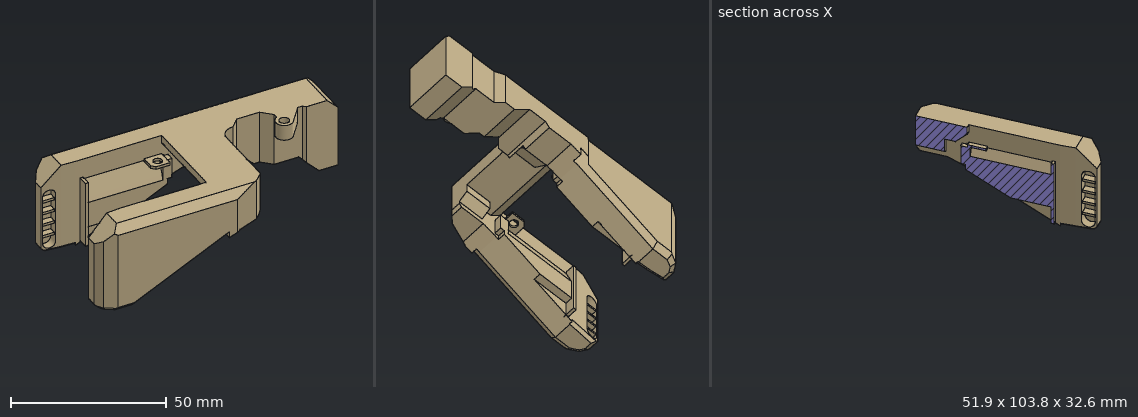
import cadquery as cq
import math

WIDTH = 51.9
LENGTH = 103.83
HEIGHT = 32.64
MARGIN = 1.0

ARM_LEFT_X = 1.3
INNER_LEFT_X = 11.4
INNER_RIGHT_X = 41.75
MID_X = (INNER_LEFT_X + INNER_RIGHT_X) / 2
INNER_STRAIGHT_Y = 12.2
OPENING_Y = 43.5
BRIDGE_BACK_Y = 61.3
FOOT_FLAT_Y = 12.1

SPINE_X = 17.9
TAIL_X = 18.85
TAIL_LEFT_X = 1.6
TAIL_FRONT_Y = 92.25

ROOF_THICKNESS = 7.0
BRIDGE_EDGE = 2.9
BRIDGE_CORNER_R = 4.5

SHOULDER_FRONT_Y = 51.3
LEFT_SHOULDER_X = 16.7
LEFT_SHOULDER_Z = (17.75, 22.1)
RIGHT_SHOULDER_X = 38.1
RIGHT_SHOULDER_Z = (19.9, 21.9)

NOTCH_X = 14.5
NOTCH_BACK_Y = 81.0
EAR_WEB_BACK_Y = 89.6
STEP_Y = 91.3
RECESS_X = 2.5

EAR_X = 22.35
EAR_Y = 82.3
EAR_R = 3.0
EAR_THICKNESS = 5.7
EAR_HOLE_D = 3.4

SIDE_BEVEL_ANGLE = 40.0
LEFT_BEVEL = 4.2
RIGHT_BEVEL = 3.05
BACK_BEVEL = 4.0
FRONT_BEVEL = 7.0
SOLE_BEVEL = 2.1
SOLE_INNER_BEVEL = 1.2
TOE_CORNER_BEVEL = 1.8
BEVEL_OVERSHOOT = 3.0
BEVEL_END_Y = 46.5

TAB_WIDTH = 5.85
TAB_LENGTH = 6.4
TAB_THICKNESS = 1.0
TAB_CORNER = 1.3
TAB_HOLE_D = 3.0
TAB_HOLE_X = 3.1
TAB_HOLE_Y = 40.4

RIB_Y = 13.8
RIB_THICKNESS = 1.1
RIB_DEPTH = 3.65
RIB_BOTTOM_Z = 1.3
PAD_DEPTH = 2.75
PAD_STEP = 0.6
PAD_TOP_Z = 25.0
PAD_STEP_Z = 19.0
PAD_FACE_Z = 17.3
PAD_BOTTOM_Z = 7.9
PAD_BACK_Y = 44.2
POST_BACK_Y = 45.8

OUTLET_Y = 2.9
OUTLET_WIDTH = 4.5
OUTLET_BOTTOM_Z = 1.6
OUTLET_TOP_Z = 24.0
OUTLET_DEPTH = 3.0
OUTLET_SETBACK = 0.8
SLAT_COUNT = 4
SLAT_THICKNESS = 0.9
SLAT_RECESS = 0.6

ROOF_Z = HEIGHT - ROOF_THICKNESS

LEFT_FOOT = [(ARM_LEFT_X, 6.0), (3.4, 2.1), (6.7, 0)]
RIGHT_FOOT = [(46.7, 0), (49.6, 1.9), (WIDTH, 6.0)]
LEFT_INNER = [(10.45, 0), (11.2, 7.1), (INNER_LEFT_X, INNER_STRAIGHT_Y)]
RIGHT_INNER = [(INNER_RIGHT_X, INNER_STRAIGHT_Y), (42.15, 7.1), (42.8, 0)]

SPINE_OUTLINE = (
    LEFT_FOOT
    + LEFT_INNER
    + [
        (INNER_LEFT_X, BRIDGE_BACK_Y),
        (SPINE_X, BRIDGE_BACK_Y),
        (SPINE_X, 66.0),
        (NOTCH_X, 69.2),
        (NOTCH_X, 77.5),
        (SPINE_X, NOTCH_BACK_Y),
        (SPINE_X, STEP_Y),
        (TAIL_X, TAIL_FRONT_Y),
        (TAIL_X, LENGTH),
        (TAIL_LEFT_X, LENGTH),
        (TAIL_LEFT_X, TAIL_FRONT_Y),
        (RECESS_X, STEP_Y),
        (RECESS_X, 82.0),
        (0, 79.4),
        (0, 43.3),
        (ARM_LEFT_X, 42.0),
    ]
)

RIGHT_ARM_OUTLINE = (
    RIGHT_INNER
    + RIGHT_FOOT
    + [
        (WIDTH, 49.5),
        (48.5, 58.2),
        (45.4, BRIDGE_BACK_Y),
        (INNER_RIGHT_X, BRIDGE_BACK_Y),
    ]
)

SLOPE_END = (45.1, 15.7)
STEP_Z = 17.75
POCKET_Z = 19.7
SPINE_Z = 13.25
TAIL_Z = 6.35
SIDE_PROFILE = [
    (0, 0),
    (FOOT_FLAT_Y, 0),
    SLOPE_END,
    (50.85, STEP_Z),
    (60.3, STEP_Z),
    (62.0, POCKET_Z),
    (68.8, POCKET_Z),
    (75.4, SPINE_Z),
    (89.95, SPINE_Z),
    (96.8, TAIL_Z),
    (LENGTH, TAIL_Z),
    (LENGTH, HEIGHT),
    (0, HEIGHT),
]


def across(points, x_start, x_end):
    """Prism along X with a (Y, Z) outline."""
    return cq.Workplane("YZ").workplane(offset=x_start).polyline(points).close().extrude(x_end - x_start)


def along(points, y_start, y_end):
    """Prism along Y with an (X, Z) outline."""
    prism = cq.Workplane("XZ", origin=(0, y_start, 0)).polyline(points).close()
    return prism.extrude(y_start - y_end)


def upright(points, z_start, z_end):
    """Prism along Z with an (X, Y) outline."""
    return cq.Workplane("XY").workplane(offset=z_start).polyline(points).close().extrude(z_end - z_start)


def mirrored(body):
    """Copy of a body on the other side of the opening."""
    return body.mirror("YZ", (MID_X, 0, 0))


def arms():
    plan = upright(SPINE_OUTLINE, 0, HEIGHT).union(upright(RIGHT_ARM_OUTLINE, 0, HEIGHT))
    return plan.intersect(across(SIDE_PROFILE, 0, WIDTH))


def bridge():
    corner_x = SPINE_X + BRIDGE_CORNER_R
    corner_y = BRIDGE_BACK_Y + BRIDGE_CORNER_R
    bend = BRIDGE_CORNER_R * math.sqrt(0.5)
    plate = (
        cq.Workplane("XY")
        .workplane(offset=ROOF_Z)
        .moveTo(INNER_LEFT_X - MARGIN, OPENING_Y)
        .lineTo(INNER_RIGHT_X + MARGIN, OPENING_Y)
        .lineTo(INNER_RIGHT_X + MARGIN, BRIDGE_BACK_Y)
        .lineTo(corner_x, BRIDGE_BACK_Y)
        .threePointArc((corner_x - bend, corner_y - bend), (SPINE_X, corner_y))
        .lineTo(INNER_LEFT_X - MARGIN, corner_y)
        .close()
        .extrude(ROOF_THICKNESS)
    )
    rise = ROOF_THICKNESS - BRIDGE_EDGE
    undercut = [
        (OPENING_Y, ROOF_Z),
        (OPENING_Y + rise, ROOF_Z),
        (OPENING_Y, ROOF_Z + rise),
    ]
    return plate.cut(across(undercut, INNER_LEFT_X, INNER_RIGHT_X))


def shoulder(wall_x, edge_x, underside):
    """Block between an arm's inner wall and edge_x, with a slanting underside."""
    wall_z, edge_z = underside
    outline = [
        (wall_x, wall_z),
        (edge_x, edge_z),
        (edge_x, ROOF_Z),
        (wall_x, ROOF_Z),
    ]
    return along(outline, SHOULDER_FRONT_Y, BRIDGE_BACK_Y)


def ear():
    bottom = HEIGHT - EAR_THICKNESS
    reach = EAR_R * math.sqrt(0.5)
    web = [
        (SPINE_X - MARGIN, NOTCH_BACK_Y),
        (EAR_X - EAR_R, NOTCH_BACK_Y),
        (EAR_X - reach, EAR_Y - reach),
        (EAR_X + reach, EAR_Y + reach),
        (SPINE_X, EAR_WEB_BACK_Y),
        (SPINE_X - MARGIN, EAR_WEB_BACK_Y),
    ]
    center = cq.Workplane("XY").workplane(offset=bottom).center(EAR_X, EAR_Y)
    boss = center.circle(EAR_R).extrude(EAR_THICKNESS)
    hole = center.circle(EAR_HOLE_D / 2).extrude(EAR_THICKNESS)
    return upright(web, bottom, HEIGHT).union(boss).cut(hole)


def top_bevels():
    slope = math.tan(math.radians(SIDE_BEVEL_ANGLE))
    high = HEIGHT + MARGIN
    run = MARGIN / slope
    left = [
        (-MARGIN, HEIGHT - (LEFT_BEVEL + MARGIN) * slope),
        (LEFT_BEVEL + run, high),
        (-MARGIN, high),
    ]
    right = [
        (WIDTH + MARGIN, HEIGHT - (RIGHT_BEVEL + MARGIN) * slope),
        (WIDTH - RIGHT_BEVEL - run, high),
        (WIDTH + MARGIN, high),
    ]
    front = [
        (-MARGIN, HEIGHT - FRONT_BEVEL - MARGIN),
        (FRONT_BEVEL + MARGIN, high),
        (-MARGIN, high),
    ]
    back = [
        (LENGTH + MARGIN, HEIGHT - BACK_BEVEL - MARGIN),
        (LENGTH - BACK_BEVEL - MARGIN, high),
        (LENGTH + MARGIN, high),
    ]
    cutters = along(left, 0, LENGTH).union(along(right, 0, LENGTH))
    return cutters.union(across(front, 0, WIDTH)).union(across(back, 0, WIDTH))


def edge_bevel(start, end, size):
    """45 degree cutter along a lower edge; the material lies to the left of start -> end."""
    start = cq.Vector(*start)
    path = cq.Vector(*end) - start
    inward = cq.Vector(-path.y, path.x, 0).normalized()
    up = cq.Vector(0, 0, 1)
    corner = start - (inward + up) * BEVEL_OVERSHOOT
    leg = size + 2 * BEVEL_OVERSHOOT
    wire = cq.Wire.makePolygon([corner, corner + inward * leg, corner + up * leg], close=True)
    return cq.Workplane(obj=cq.Solid.extrudeLinear(wire, [], path))


def sole_bevels():
    """Bevels along the sole, on the flat and on the slope, and across the toes."""
    slope_z = (BEVEL_END_Y - FOOT_FLAT_Y) * SLOPE_END[1] / (SLOPE_END[0] - FOOT_FLAT_Y)
    cutters = edge_bevel((0, 0, 0), (WIDTH, 0, 0), SOLE_BEVEL)
    sole_line = [(BEVEL_END_Y, slope_z), (FOOT_FLAT_Y, 0), (0, 0)]
    for (y1, z1), (y2, z2) in zip(sole_line, sole_line[1:]):
        cutters = cutters.union(edge_bevel((ARM_LEFT_X, y1, z1), (ARM_LEFT_X, y2, z2), SOLE_BEVEL))
        cutters = cutters.union(edge_bevel((WIDTH, y2, z2), (WIDTH, y1, z1), SOLE_BEVEL))
    for path, size in (
        (LEFT_FOOT, TOE_CORNER_BEVEL),
        (RIGHT_FOOT, TOE_CORNER_BEVEL),
        (LEFT_INNER, SOLE_INNER_BEVEL),
        (RIGHT_INNER, SOLE_INNER_BEVEL),
    ):
        for (x1, y1), (x2, y2) in zip(path, path[1:]):
            cutters = cutters.union(edge_bevel((x1, y1, 0), (x2, y2, 0), size))
    return cutters


def tab():
    left = INNER_LEFT_X - MARGIN
    right = INNER_LEFT_X + TAB_WIDTH
    front = OPENING_Y - TAB_LENGTH
    outline = [
        (left, front),
        (right - TAB_CORNER, front),
        (right, front + TAB_CORNER),
        (right, OPENING_Y),
        (left, OPENING_Y),
    ]
    return upright(outline, ROOF_Z - TAB_THICKNESS, ROOF_Z)


def tab_hole():
    plane = cq.Workplane("XY").workplane(offset=ROOF_Z - TAB_THICKNESS)
    return plane.center(INNER_LEFT_X + TAB_HOLE_X, TAB_HOLE_Y).circle(TAB_HOLE_D / 2).extrude(TAB_THICKNESS)


def wall_pad():
    """Thickened inner wall with a sloping top, and a short post behind the tab."""
    wall = INNER_LEFT_X
    face = wall + PAD_DEPTH
    outline = [
        (wall - MARGIN, PAD_BOTTOM_Z),
        (face, PAD_BOTTOM_Z),
        (face, PAD_FACE_Z),
        (face - PAD_STEP, PAD_STEP_Z),
        (wall, PAD_TOP_Z),
        (wall - MARGIN, PAD_TOP_Z),
    ]
    post = [
        (wall - MARGIN, PAD_FACE_Z),
        (face, PAD_FACE_Z),
        (face, ROOF_Z - TAB_THICKNESS),
        (wall - MARGIN, ROOF_Z - TAB_THICKNESS),
    ]
    pad = along(outline, RIB_Y, PAD_BACK_Y).union(along(post, OPENING_Y - MARGIN, POST_BACK_Y))
    return pad.intersect(across(SIDE_PROFILE, 0, WIDTH))


def stop_rib():
    outline = [
        (INNER_LEFT_X - MARGIN, RIB_Y),
        (INNER_LEFT_X + RIB_DEPTH, RIB_Y),
        (INNER_LEFT_X + RIB_DEPTH, RIB_Y + RIB_THICKNESS),
        (INNER_LEFT_X - MARGIN, RIB_Y + RIB_THICKNESS),
    ]
    return upright(outline, RIB_BOTTOM_Z, ROOF_Z)


def air_outlet():
    """Round-ended pocket in the inner face of the left foot, less the slats across it."""
    face = INNER_LEFT_X - OUTLET_SETBACK
    floor = face - OUTLET_DEPTH
    height = OUTLET_TOP_Z - OUTLET_BOTTOM_Z
    pocket = (
        cq.Workplane("YZ")
        .workplane(offset=floor)
        .center(OUTLET_Y, OUTLET_BOTTOM_Z + height / 2)
        .slot2D(height, OUTLET_WIDTH, 90)
        .extrude(OUTLET_DEPTH + OUTLET_SETBACK)
    )
    slat_depth = OUTLET_DEPTH - SLAT_RECESS
    for index in range(1, SLAT_COUNT + 1):
        z = OUTLET_BOTTOM_Z + height * index / (SLAT_COUNT + 1)
        slat = cq.Workplane("XY").box(slat_depth, OUTLET_WIDTH, SLAT_THICKNESS)
        pocket = pocket.cut(slat.translate((floor + slat_depth / 2, OUTLET_Y, z)))
    return pocket


def both_sides(body):
    return body.union(mirrored(body))


result = arms().union(bridge()).union(ear())
result = result.union(shoulder(INNER_LEFT_X, LEFT_SHOULDER_X, LEFT_SHOULDER_Z))
result = result.union(shoulder(INNER_RIGHT_X, RIGHT_SHOULDER_X, RIGHT_SHOULDER_Z))
result = result.cut(top_bevels()).cut(sole_bevels())
result = result.union(both_sides(wall_pad())).union(both_sides(stop_rib())).union(both_sides(tab()))
result = result.cut(both_sides(tab_hole())).cut(both_sides(air_outlet())).clean()